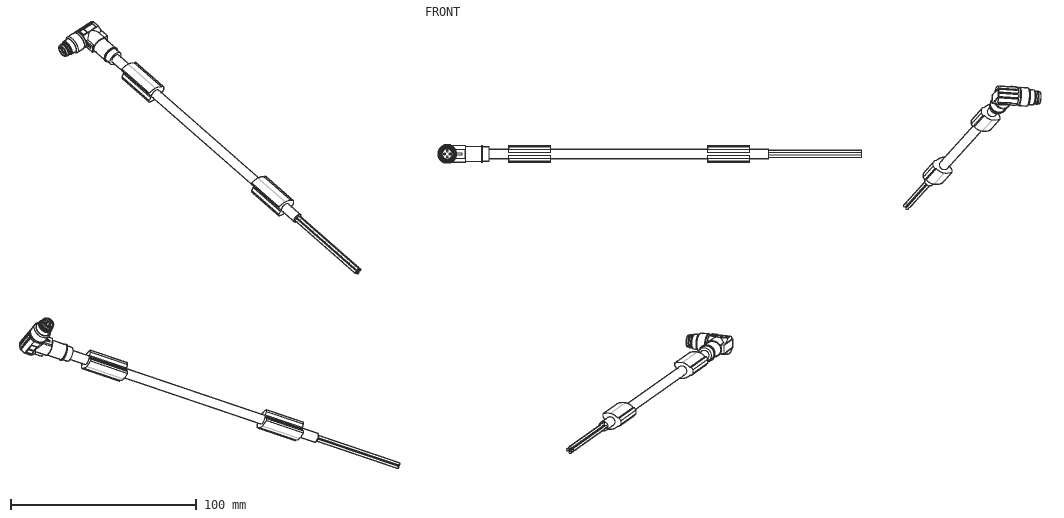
import cadquery as cq
import math


overall_length = 228.0
overall_depth = 24.19
plug_radius = 5.0

cable_radius = 2.6
wire_end_x = overall_length - plug_radius
wire_free_length = 50.0
sheath_end_x = wire_end_x - wire_free_length
wire_radius = 0.68
wire_circle_radius = 1.35
wire_count = 4
wire_overlap = 1.0

rib_back_y = 6.05
rib_front_y = -5.1
rib_half_height = 2.4
rib_start_x = -4.3
rib_front_end_x = 9.5
rib_back_end_x = 8.9
housing_back_y = 5.6
housing_front_y = -5.4
housing_half_height = 4.6
arm_radius = 4.6
arm_end_x = 9.9
rib_slot_start_x = 4.6
rib_slot_end_x = 8.0
rib_slot_width = 0.9
rib_slot_depth = 0.4

grip_heights = (-2.4, 0.0, 2.4)
grip_width = 0.6
grip_depth = 0.5
grip_front_y = -4.7

panel_start_x = -1.6
panel_end_x = 1.7
panel_depth = 0.3
panel_back_y = 4.3
marker_length = 2.7
top_marker_back_y = -2.0
bottom_marker_back_y = 4.2

sleeve_half_width = 4.5
sleeve_half_height = 4.1
sleeve_end_x = 19.0
flange_radius = 4.6
flange_thickness = 0.5
collar_radius = 4.0
collar_end_x = 22.6

plug_tip_y = rib_back_y - overall_depth
neck_radius = 4.6
ring_start_y = -6.5
ring_lead_in = 0.3
ring_taper_y = -11.2
ring_end_y = -12.0
ring_end_radius = 4.4
barrel_radius = 4.1
barrel_end_y = -14.7
shoulder_radius = 3.6
shoulder_end_y = -15.4
seal_groove_radius = 3.3
seal_start_y = -16.3
seal_end_y = -17.0
seal_radius = 3.6
tip_radius = 3.3
socket_radius = 2.7
socket_depth = 5.0
pin_radius = 0.5
pin_circle_radius = 1.5
pin_setback = 1.0
pin_count = 4
pin_overlap = 1.0

clip_starts_x = (33.0, 140.2)
clip_length = 22.6
clip_back_y = rib_back_y
clip_back_half_height = 1.0
clip_plate_y = 5.1
clip_plate_front_y = 4.3
clip_plate_half_height = 2.3
clip_shoulder_y = 2.5
clip_shoulder_half_height = 3.7
clip_crown_y = 0.0
clip_half_height = 4.5
clip_flank_y = -2.5
clip_flank_half_height = 4.35
clip_lip_y = -4.4
clip_lip_outer_half_height = 3.8
clip_lip_inner_half_height = 2.4
mouth_throat_y = -3.4
mouth_half_height = 0.7


def rod_x(radius, start_x, end_x, y=0.0, z=0.0):
    """Round rod along X."""
    return cq.Workplane("YZ", origin=(start_x, y, z)).circle(radius).extrude(end_x - start_x)


def rod_y(radius, back_y, front_y, x=0.0, z=0.0):
    """Round rod along Y, from back_y forward to front_y."""
    return cq.Workplane("XZ", origin=(x, back_y, z)).circle(radius).extrude(back_y - front_y)


def block(x_limits, y_limits, z_limits):
    """Box given by its lower and upper limit on each axis."""
    limits = (x_limits, y_limits, z_limits)
    corner = tuple(low for low, high in limits)
    size = [high - low for low, high in limits]
    return cq.Workplane("XY", origin=corner).box(*size, centered=False)


def around_circle(radius, count):
    """Evenly spaced points on a circle about the origin."""
    angles = [2 * math.pi * index / count for index in range(count)]
    return [(radius * math.cos(angle), radius * math.sin(angle)) for angle in angles]


def make_cable():
    cable = rod_x(cable_radius, 0.0, sheath_end_x)
    for y, z in around_circle(wire_circle_radius, wire_count):
        cable = cable.union(rod_x(wire_radius, sheath_end_x - wire_overlap, wire_end_x, y, z))
    return cable


def make_housing_body():
    """Barrel with flat top and bottom, the arm, and the rib on its front and back."""
    flats = block(
        (-plug_radius, plug_radius),
        (housing_front_y, housing_back_y),
        (-housing_half_height, housing_half_height),
    )
    barrel = rod_y(plug_radius, housing_back_y, housing_front_y).intersect(flats)
    arm = rod_x(arm_radius, 0.0, arm_end_x)
    rib_height = (-rib_half_height, rib_half_height)
    front_rib = block((0.0, rib_front_end_x), (rib_front_y, 0.0), rib_height)
    back_rib = block((rib_start_x, rib_back_end_x), (0.0, rib_back_y), rib_height)
    return barrel.union(arm).union(front_rib).union(back_rib)


def cut_rib_slot(housing):
    slot = block(
        (rib_slot_start_x, rib_slot_end_x),
        (rib_front_y, rib_front_y + rib_slot_depth),
        (-rib_slot_width / 2, rib_slot_width / 2),
    )
    return housing.cut(slot)


def cut_grip_grooves(housing):
    """Grooves of even depth below the round side of the barrel."""
    for z in grip_heights:
        surface_x = -math.sqrt(plug_radius**2 - z**2)
        groove = block(
            (-plug_radius, surface_x + grip_depth),
            (grip_front_y, housing_back_y),
            (z - grip_width / 2, z + grip_width / 2),
        )
        housing = housing.cut(groove)
    return housing


def add_panel(housing, side, marker_back_y):
    """Shallow panel with a raised marker, on the top (side 1) or the bottom (side -1)."""
    panel_x = (panel_start_x, panel_end_x)
    floor_z = side * (housing_half_height - panel_depth)
    panel_z = sorted((floor_z, side * housing_half_height))
    marker_z = sorted((floor_z, side * plug_radius))
    marker_front_y = marker_back_y - marker_length
    panel_front_y = min(marker_front_y, top_marker_back_y)
    housing = housing.cut(block(panel_x, (panel_front_y, panel_back_y), panel_z))
    return housing.union(block(panel_x, (marker_front_y, marker_back_y), marker_z))


def make_housing():
    housing = cut_rib_slot(make_housing_body())
    housing = cut_grip_grooves(housing)
    housing = add_panel(housing, 1, top_marker_back_y)
    return add_panel(housing, -1, bottom_marker_back_y)


def make_strain_relief():
    """Oval sleeve, a thin flange and a round collar."""
    sleeve_plane = cq.Workplane("YZ", origin=(arm_end_x, 0, 0))
    sleeve = sleeve_plane.ellipse(sleeve_half_width, sleeve_half_height)
    sleeve = sleeve.extrude(sleeve_end_x - arm_end_x)
    flange = rod_x(flange_radius, sleeve_end_x - flange_thickness, sleeve_end_x)
    collar = rod_x(collar_radius, sleeve_end_x, collar_end_x)
    return sleeve.union(flange).union(collar)


def make_plug():
    """Turned plug with a socket at its tip."""
    half_section = [
        (0, housing_front_y),
        (neck_radius, housing_front_y),
        (neck_radius, ring_start_y),
        (plug_radius - ring_lead_in, ring_start_y),
        (plug_radius, ring_start_y - ring_lead_in),
        (plug_radius, ring_taper_y),
        (ring_end_radius, ring_end_y),
        (barrel_radius, ring_end_y),
        (barrel_radius, barrel_end_y),
        (shoulder_radius, barrel_end_y),
        (shoulder_radius, shoulder_end_y),
        (seal_groove_radius, shoulder_end_y),
        (seal_groove_radius, seal_start_y),
        (seal_radius, seal_start_y),
        (seal_radius, seal_end_y),
        (tip_radius, seal_end_y),
        (tip_radius, plug_tip_y),
        (0, plug_tip_y),
    ]
    plug = cq.Workplane("XY").polyline(half_section).close().revolve(axisStart=(0, 0), axisEnd=(0, 1))
    socket_floor_y = plug_tip_y + socket_depth
    plug = plug.cut(rod_y(socket_radius, socket_floor_y, plug_tip_y))
    for x, z in around_circle(pin_circle_radius, pin_count):
        pin = rod_y(pin_radius, socket_floor_y + pin_overlap, plug_tip_y + pin_setback, x, z)
        plug = plug.union(pin)
    return plug


def make_clip(start_x):
    """Marker clip around the cable: a back plate, arched jaws and a flared mouth at the front."""
    upper_half = (
        cq.Workplane("YZ", origin=(start_x, 0, 0))
        .moveTo(clip_back_y, 0)
        .lineTo(clip_back_y, clip_back_half_height)
        .lineTo(clip_plate_y, clip_plate_half_height)
        .lineTo(clip_plate_front_y, clip_plate_half_height)
        .threePointArc(
            (clip_shoulder_y, clip_shoulder_half_height), (clip_crown_y, clip_half_height)
        )
        .threePointArc(
            (clip_flank_y, clip_flank_half_height), (clip_lip_y, clip_lip_outer_half_height)
        )
        .lineTo(clip_lip_y, clip_lip_inner_half_height)
        .lineTo(mouth_throat_y, mouth_half_height)
        .lineTo(0, mouth_half_height)
        .lineTo(0, 0)
        .close()
        .extrude(clip_length)
    )
    return upper_half.union(upper_half.mirror("XY"))


result = make_cable().union(make_housing()).union(make_strain_relief()).union(make_plug())
for clip_start_x in clip_starts_x:
    result = result.union(make_clip(clip_start_x))